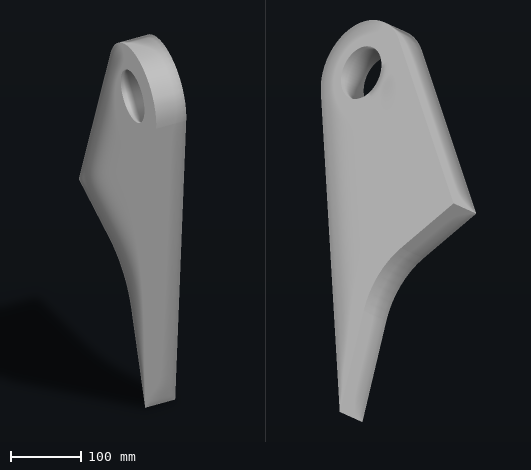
import cadquery as cq
import math

thickness = 47.5
hole_diameter = 79.0
eye_radius = 79.0
total_height = 600.0
total_width = 260.0
edge_tilt = math.radians(20.1)
shoulder_length = 168.0
notch_radius = 120.0
tip_x = 42.0


def eye_point(angle):
    """Point on the rounded eye end, angle measured from +X."""
    return (eye_radius * math.cos(angle), eye_radius * math.sin(angle))


left_tangent = eye_point(math.pi - edge_tilt)
left_x = eye_radius - total_width
left_edge_length = (left_tangent[0] - left_x) / math.sin(edge_tilt)
left_corner = (left_x, left_tangent[1] - left_edge_length * math.cos(edge_tilt))
notch_corner = (
    left_corner[0] + shoulder_length * math.cos(edge_tilt),
    left_corner[1] - shoulder_length * math.sin(edge_tilt),
)

tip = (tip_x, eye_radius - total_height)
tip_distance = math.hypot(*tip)
right_angle = math.atan2(tip[1], tip[0]) + math.acos(eye_radius / tip_distance)
right_tangent = eye_point(right_angle)

plate = (
    cq.Workplane("XZ")
    .moveTo(*left_tangent)
    .lineTo(*left_corner)
    .lineTo(*notch_corner)
    .lineTo(*tip)
    .lineTo(*right_tangent)
    .threePointArc((0, eye_radius), left_tangent)
    .close()
    .extrude(thickness / 2, both=True)
)

notch_edge = cq.selectors.NearestToPointSelector((notch_corner[0], 0, notch_corner[1]))
plate = plate.edges("|Y").edges(notch_edge).fillet(notch_radius)

hole_start = cq.Workplane("XZ", origin=(0, thickness / 2, 0))
pin_hole = hole_start.circle(hole_diameter / 2).extrude(thickness)
result = plate.cut(pin_hole)